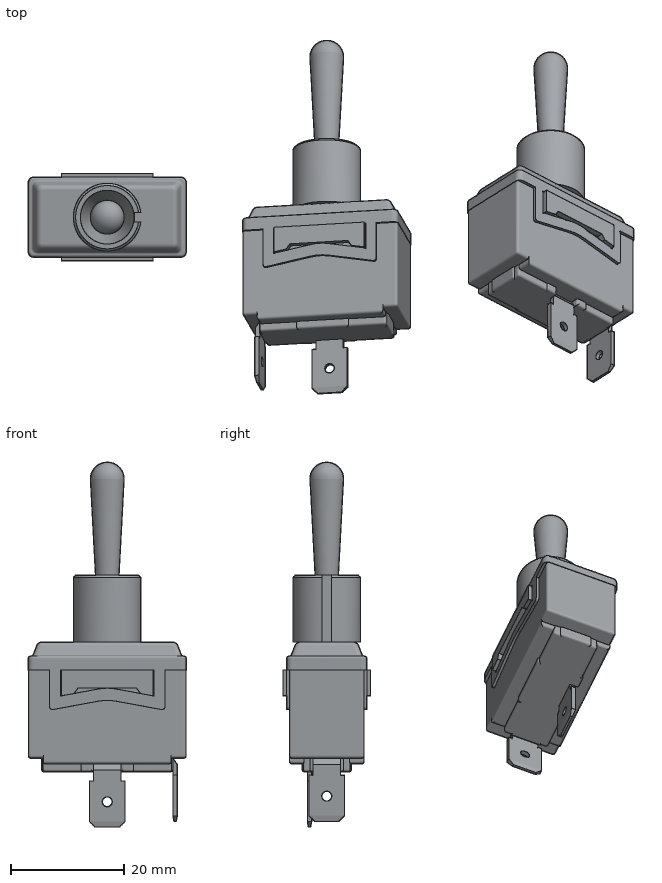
import cadquery as cq

EMBED = 0.3
SELECT_MARGIN = 0.1

case_length = 27.9
case_width = 13.2
case_edge_radius = 0.45
case_bottom = -21.4
case_end_bottom = -20.4
case_middle_length = 22.6

cover_length = 28.0
cover_width = 14.2
cover_corner_radius = 1.0
rim_bottom = -4.75
rim_top = -2.3
cover_top = 0.15
rim_edge_radius = 0.5
bevel_length = 26.4
bevel_width = 12.7
bevel_angle = 21.0
bevel_edge_radius = 1.0
bevel_root_radius = 0.4

skirt_length = 20.4
skirt_peak = -10.15
skirt_corner_radius = 0.5
window_length = 16.6
window_peak = -8.0
gable_slope = 0.185
gable_round = 1.6
hook_length = 16.2
hook_span = 15.5
hook_bottom = -9.4
hook_notch_top = 10.4
hook_notch_bottom = 12.4

base_bottom = -22.8
base_length = 23.2
base_width = 8.7
base_pad_height = 0.2
end_pad_width = 6.0
side_pad_length = 9.4
base_edge_radius = 0.4
notch_edge_radius = 0.4

bushing_diameter = 12.0
bushing_height = 12.0
bushing_chamfer = 0.4
cup_rim_diameter = 9.5
cup_floor_diameter = 5.4
cup_depth = 5.5
keyway_width = 1.7
keyway_floor = 4.85

ball_radius = 3.0
lever_top = 32.0
lever_neck_radius = 2.1

blade_thickness = 0.8
blade_width = 6.3
blade_neck_width = 4.9
blade_length = 11.2
blade_shoulder = 3.0
blade_hole_diameter = 1.7
blade_hole_depth = 6.7
blade_tip_height = 1.0
blade_tip_thickness = 0.4
blade_bend_run = 0.75
blade_bend_drop = 1.1
side_blade_offset = 3.45
end_blade_offset = 12.4


def block(length, width, bottom, top):
    """Centred box between two heights."""
    return cq.Workplane("XY").workplane(offset=bottom).rect(length, width).extrude(top - bottom)


def make_case():
    shell = block(case_length, case_width, case_end_bottom, rim_bottom + EMBED)
    shell = shell.edges("|Z or (#Z and <Z)").fillet(case_edge_radius)
    middle = block(case_middle_length, case_width, case_bottom, rim_bottom)
    middle = middle.faces("<Z").edges().fillet(case_edge_radius)
    return shell.union(middle)


def make_cover():
    rim = block(cover_length, cover_width, rim_bottom, rim_top)
    rim = rim.edges("|Z").fillet(cover_corner_radius)
    rim = rim.faces(">Z").edges().fillet(rim_edge_radius)
    bevel = (
        cq.Workplane("XY").workplane(offset=rim_top).rect(bevel_length, bevel_width)
        .extrude(cover_top - rim_top, taper=bevel_angle)
    )
    bevel = bevel.edges("not (|X or |Y)").fillet(cover_corner_radius)
    bevel = bevel.faces(">Z").edges().fillet(bevel_edge_radius)
    reach_x = bevel_length / 2 + SELECT_MARGIN
    reach_y = bevel_width / 2 + SELECT_MARGIN
    root = cq.selectors.BoxSelector(
        (-reach_x, -reach_y, rim_top - SELECT_MARGIN),
        (reach_x, reach_y, rim_top + SELECT_MARGIN),
    )
    return rim.union(bevel).edges(root).fillet(bevel_root_radius)


def gable_plate(length, top, peak, thickness):
    """Plate across Y whose lower edge rises on both sides to a rounded peak."""
    half = length / 2
    round_end = peak - gable_slope * gable_round / 2
    corner = round_end - gable_slope * (half - gable_round)
    return (
        cq.Workplane("XZ")
        .moveTo(-half, top)
        .lineTo(-half, corner)
        .lineTo(-gable_round, round_end)
        .threePointArc((0, peak), (gable_round, round_end))
        .lineTo(half, corner)
        .lineTo(half, top)
        .close()
        .extrude(thickness / 2, both=True)
    )


def make_skirts():
    skirts = gable_plate(skirt_length, rim_bottom + EMBED, skirt_peak, cover_width)
    skirts = skirts.edges("|Y and <Z").fillet(skirt_corner_radius)
    windows = gable_plate(window_length, rim_bottom, window_peak, cover_width)
    core = block(case_length, case_width, case_bottom, rim_bottom)
    return skirts.cut(windows.cut(core))


def make_hooks():
    hooks = gable_plate(hook_length, rim_bottom, window_peak, hook_span)
    notch = (
        cq.Workplane("XZ")
        .moveTo(-hook_notch_top / 2, window_peak)
        .lineTo(hook_notch_top / 2, window_peak)
        .lineTo(hook_notch_bottom / 2, hook_bottom)
        .lineTo(-hook_notch_bottom / 2, hook_bottom)
        .close()
        .extrude(hook_span, both=True)
    )
    return hooks.cut(notch)


def rounded_base_block(length, width):
    base = block(length, width, base_bottom, case_end_bottom)
    return base.edges("|Z or (#Z and <Z)").fillet(base_edge_radius)


def make_blade_notch():
    """Cutter for the notch behind the side blade, flaring out over rounded mouth edges."""
    half = blade_neck_width / 2
    face = -base_width / 2
    throat = face + notch_edge_radius
    back = blade_thickness - side_blade_offset
    return (
        cq.Workplane("XY").workplane(offset=base_bottom)
        .moveTo(half + notch_edge_radius, face)
        .radiusArc((half, throat), notch_edge_radius)
        .lineTo(half, back)
        .lineTo(-half, back)
        .lineTo(-half, throat)
        .radiusArc((-half - notch_edge_radius, face), notch_edge_radius)
        .close()
        .extrude(case_bottom - base_bottom)
    )


def make_base():
    core = rounded_base_block(base_length - 2 * base_pad_height, base_width - 2 * base_pad_height)
    end_pads = rounded_base_block(base_length, end_pad_width)
    side_pads = rounded_base_block(side_pad_length, base_width)
    return core.union(end_pads).union(side_pads).cut(make_blade_notch())


def make_bushing():
    bushing = cq.Workplane("XY").workplane(offset=cover_top).circle(bushing_diameter / 2)
    bushing = bushing.extrude(bushing_height - cover_top).faces(">Z").edges().chamfer(bushing_chamfer)
    cup = (
        cq.Workplane("XY").workplane(offset=bushing_height).circle(cup_rim_diameter / 2)
        .workplane(offset=-cup_depth).circle(cup_floor_diameter / 2)
        .loft()
    )
    keyway = block(bushing_diameter, keyway_width, 0, bushing_height)
    keyway = keyway.translate((keyway_floor + bushing_diameter / 2, 0, 0))
    return bushing.cut(cup).cut(keyway)


def make_lever():
    ball_centre = lever_top - ball_radius
    taper = (ball_radius - lever_neck_radius) / (ball_centre - bushing_height)
    foot = bushing_height - cup_depth - EMBED
    foot_radius = ball_radius - taper * (ball_centre - foot)
    return (
        cq.Workplane("XZ")
        .moveTo(0, foot)
        .lineTo(foot_radius, foot)
        .lineTo(ball_radius, ball_centre)
        .radiusArc((0, lever_top), -ball_radius)
        .close()
        .revolve(360, (0, 0, 0), (0, 1, 0))
    )


def make_blade():
    """Blade hanging from Z = 0, with its outer face on Y = 0 and facing -Y."""
    shank = blade_length - blade_shoulder
    outline = (
        cq.Workplane("XZ").center(0, -blade_shoulder - shank / 2).rect(blade_width, shank)
        .extrude(-blade_thickness)
        .edges("|Y and <Z").chamfer(blade_tip_height)
    )
    neck = block(blade_neck_width, blade_thickness, -blade_shoulder, EMBED)
    blade = outline.union(neck.translate((0, blade_thickness / 2, 0)))
    bevel = (blade_thickness - blade_tip_thickness) / 2
    side_profile = (
        cq.Workplane("YZ")
        .moveTo(blade_bend_run, EMBED)
        .lineTo(blade_bend_run, 0)
        .lineTo(0, -blade_bend_drop)
        .lineTo(0, -blade_length + blade_tip_height)
        .lineTo(bevel, -blade_length)
        .lineTo(blade_thickness - bevel, -blade_length)
        .lineTo(blade_thickness, -blade_length + blade_tip_height)
        .lineTo(blade_thickness, EMBED)
        .close()
        .extrude(blade_width, both=True)
    )
    hole = (
        cq.Workplane("XZ").center(0, -blade_hole_depth).circle(blade_hole_diameter / 2)
        .extrude(blade_thickness, both=True)
    )
    return blade.intersect(side_profile).cut(hole)


def make_blades():
    blade = make_blade()
    side_blade = blade.translate((0, -side_blade_offset, case_bottom))
    end_blade = blade.translate((0, -end_blade_offset, case_end_bottom))
    return side_blade.union(end_blade.rotate((0, 0, 0), (0, 0, 1), 90))


result = make_case()
pieces = (
    make_cover(), make_skirts(), make_hooks(), make_base(), make_bushing(), make_lever(), make_blades()
)
for piece in pieces:
    result = result.union(piece)